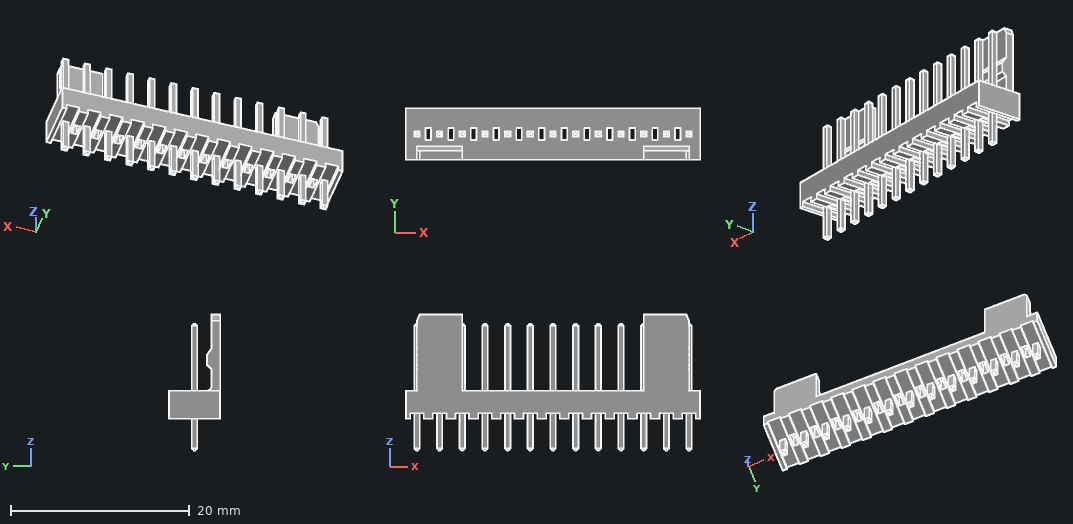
import cadquery as cq

PIN_COUNT = 13
PITCH = 2.54

HOUSING_LENGTH = PIN_COUNT * PITCH
HOUSING_DEPTH = 5.8
HOUSING_HEIGHT = 3.16
CORNER_CHAMFER = 0.05
FRONT_Y = -HOUSING_DEPTH / 2

GROOVE_WIDTH = 1.5
GROOVE_DEPTH = 0.6

WINDOW_WIDTH = 0.6
WINDOW_DEPTH = 1.3

PIN_SIZE = 0.64
PIN_BOTTOM = -3.56
PIN_TOP = 10.66
TIP_LENGTH = 0.25
TIP_SIZE = 0.14

TAB_WIDTH = 2 * PITCH
TAB_OUTER_X = HOUSING_LENGTH / 2 - PITCH / 2
TAB_TOP = 11.7
TAB_THICKNESS = 1.0
TAB_ROOT_RADIUS = 0.5
TAB_CORNER_WIDTH = 0.3
TAB_CORNER_HEIGHT = 0.7

BUMP_PROJECTION = 0.5
BUMP_START = 2.4
BUMP_FLAT_START = 2.86
BUMP_FLAT_END = 4.02
BUMP_END = 4.74


def pin_positions():
    first_x = -(PIN_COUNT - 1) * PITCH / 2
    return [(first_x + i * PITCH, 0) for i in range(PIN_COUNT)]


def window_positions():
    return [(x + PITCH / 2, y) for x, y in pin_positions()[:-1]]


def make_housing():
    housing = (
        cq.Workplane("XY")
        .box(HOUSING_LENGTH, HOUSING_DEPTH, HOUSING_HEIGHT, centered=(True, True, False))
        .edges("|Z")
        .chamfer(CORNER_CHAMFER)
    )
    grooves = (
        cq.Workplane("XY")
        .pushPoints(pin_positions())
        .rect(GROOVE_WIDTH, HOUSING_DEPTH)
        .extrude(GROOVE_DEPTH)
    )
    windows = (
        cq.Workplane("XY")
        .pushPoints(window_positions())
        .rect(WINDOW_WIDTH, WINDOW_DEPTH)
        .extrude(HOUSING_HEIGHT)
    )
    return housing.cut(grooves).cut(windows)


def make_right_tab():
    """Tab at the +X end: side profile with root fillet and latch bump, outer top corner cut off."""
    inner_y = FRONT_Y + TAB_THICKNESS
    bump_y = inner_y + BUMP_PROJECTION
    base_z = HOUSING_HEIGHT
    tab = (
        cq.Workplane("YZ", origin=(TAB_OUTER_X - TAB_WIDTH, 0, 0))
        .moveTo(FRONT_Y, base_z)
        .lineTo(inner_y + TAB_ROOT_RADIUS, base_z)
        .radiusArc((inner_y, base_z + TAB_ROOT_RADIUS), TAB_ROOT_RADIUS)
        .lineTo(inner_y, base_z + BUMP_START)
        .lineTo(bump_y, base_z + BUMP_FLAT_START)
        .lineTo(bump_y, base_z + BUMP_FLAT_END)
        .lineTo(inner_y, base_z + BUMP_END)
        .lineTo(inner_y, TAB_TOP)
        .lineTo(FRONT_Y, TAB_TOP)
        .close()
        .extrude(TAB_WIDTH)
    )
    corner = (
        cq.Workplane("XZ", origin=(0, -FRONT_Y, 0))
        .moveTo(TAB_OUTER_X, TAB_TOP)
        .lineTo(TAB_OUTER_X - TAB_CORNER_WIDTH, TAB_TOP)
        .lineTo(TAB_OUTER_X, TAB_TOP - TAB_CORNER_HEIGHT)
        .close()
        .extrude(HOUSING_DEPTH)
    )
    return tab.cut(corner)


def make_tip(base_z, length):
    """Tapered pin end starting at base_z; a negative length points down."""
    return (
        cq.Workplane("XY", origin=(0, 0, base_z))
        .rect(PIN_SIZE, PIN_SIZE)
        .workplane(offset=length)
        .rect(TIP_SIZE, TIP_SIZE)
        .loft(ruled=True)
    )


def make_pin():
    shank_bottom = PIN_BOTTOM + TIP_LENGTH
    shank_top = PIN_TOP - TIP_LENGTH
    shank = (
        cq.Workplane("XY", origin=(0, 0, shank_bottom))
        .rect(PIN_SIZE, PIN_SIZE)
        .extrude(shank_top - shank_bottom)
    )
    return shank.union(make_tip(shank_top, TIP_LENGTH)).union(make_tip(shank_bottom, -TIP_LENGTH))


right_tab = make_right_tab()
left_tab = right_tab.mirror("YZ")
pin = make_pin()

result = make_housing().union(right_tab).union(left_tab)
for position_x, position_y in pin_positions():
    result = result.union(pin.translate((position_x, position_y, 0)))